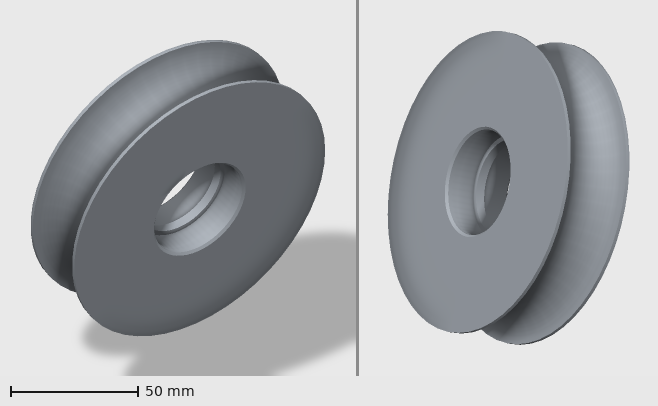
import cadquery as cq

outer_diameter = 120.0
width = 30.0
groove_diameter = 27.0
bore_diameter = 38.0
seat_diameter = 42.0
shoulder_width = 4.0
seat_chamfer = 1.0

outer_radius = outer_diameter / 2
seat_radius = seat_diameter / 2
seat_depth = (width - shoulder_width) / 2
near_face = -width / 2


def disc(diameter, start, length):
    """Solid cylinder along X, running from x = start towards +X."""
    return cq.Workplane("YZ", origin=(start, 0, 0)).circle(diameter / 2).extrude(length)


def make_groove():
    """Ring of circular section centred on the rim, giving a semicircular groove."""
    return (
        cq.Workplane("XY")
        .center(0, outer_radius)
        .circle(groove_diameter / 2)
        .revolve(360, (0, -outer_radius), (1, -outer_radius))
    )


def make_seat():
    """Bearing seat with a chamfered mouth, open on the -X face."""
    seat = disc(seat_diameter, near_face, seat_depth)
    mouth = (
        cq.Workplane("YZ", origin=(near_face, 0, 0))
        .circle(seat_radius + seat_chamfer)
        .workplane(offset=seat_chamfer)
        .circle(seat_radius)
        .loft(ruled=True)
    )
    return seat.union(mouth)


wheel = disc(outer_diameter, near_face, width).cut(make_groove())
bore = disc(bore_diameter, near_face, width)
near_seat = make_seat()
far_seat = near_seat.mirror("YZ")

result = wheel.cut(bore).cut(near_seat).cut(far_seat)